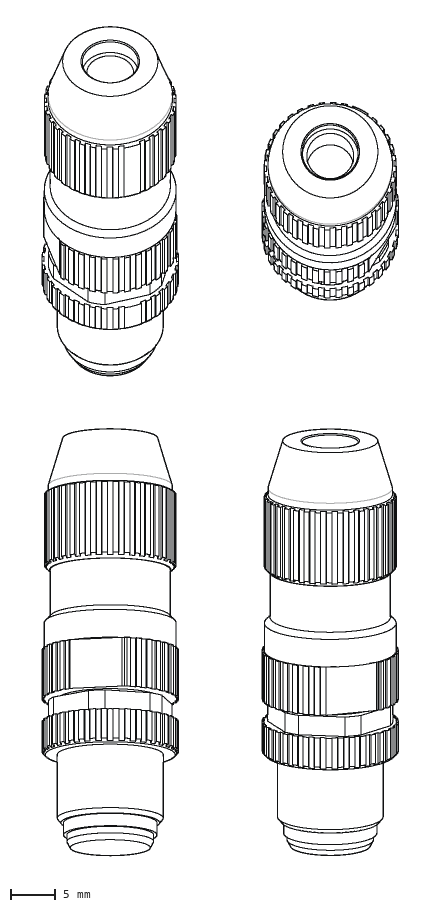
import cadquery as cq
import math

LENGTH = 46.75
RIM_DIAMETER = 15.3

CARRIER_CHAMFER_TOP = 0.7
GASKET_BOTTOM = 1.45
GASKET_TOP = 2.85
THREAD_CHAMFER_TOP = 3.35
NUT_RIM_BOTTOM = 10.6
NUT_RIM_CHAMFER_TOP = 11.0
HEX_BOTTOM = 14.35
HEX_TOP = 16.6
GRIP_BOTTOM = 16.95
GRIP_TOP = 22.55
COLLAR_CHAMFER_BOTTOM = 25.7
COLLAR_CHAMFER_TOP = 26.35
CAP_BOTTOM = 31.7
CAP_CHAMFER_TOP = 32.25
CAP_KNURL_TOP = 40.3
CAP_BAND_BOTTOM = 40.55
CAP_CONE_BOTTOM = 41.35

CARRIER_RADIUS = 4.85
CARRIER_TIP_RADIUS = 4.5
GASKET_RADIUS = 5.25

THREAD_RADIUS = 5.95
THREAD_TIP_RADIUS = 5.5
NUT_RIM_RADIUS = RIM_DIAMETER / 2
NUT_RIM_CHAMFER = NUT_RIM_CHAMFER_TOP - NUT_RIM_BOTTOM
HEX_CORNER_RADIUS = 7.0
HEX_ACROSS_FLATS = 13.0

GRIP_RADIUS = NUT_RIM_RADIUS
GRIP_ACROSS_FLATS = 13.65

SPIGOT_RADIUS = 5.85
COLLAR_RADIUS = 7.4
BARREL_RADIUS = 6.75

CAP_TOP_RADIUS = 5.35
CAP_BAND_RADIUS = 6.95
CAP_KNURL_RADIUS = COLLAR_RADIUS
CAP_BOTTOM_RADIUS = CAP_KNURL_RADIUS - (CAP_CHAMFER_TOP - CAP_BOTTOM)
CAP_BORE_RADIUS = 3.15
CAP_BORE_CHAMFER = 0.15
CAP_LIP_THICKNESS = 1.85

SEAL_RADIUS = 4.2
SEAL_BORE_RADIUS = 2.6
SEAL_BOTTOM = 39.75
SEAL_TOP = LENGTH - CAP_LIP_THICKNESS

GROOVE_COUNT = 36
GROOVE_DEPTH = 0.25
GROOVE_PITCH = 360 / GROOVE_COUNT
GROOVE_ANGLE = GROOVE_PITCH / 2
GROOVE_OUTER_MARGIN = 0.45


def turned(profile):
    """Revolve a closed (radius, height) outline around the Z axis."""
    return cq.Workplane("XZ").polyline(profile).close().revolve(360, (0, 0, 0), (0, 1, 0))


def tube(bore_radius, outer_radius, bottom, top):
    """Plain ring between two heights."""
    return turned(
        [(bore_radius, bottom), (outer_radius, bottom), (outer_radius, top), (bore_radius, top)]
    )


def polar(radius, angle):
    """Point in the XY plane at an angle in degrees from +X."""
    return (radius * math.cos(math.radians(angle)), radius * math.sin(math.radians(angle)))


def knurl(body, tooth_radius, bottom, top):
    """Cut the knurling grooves into the rim of a body between two heights."""
    floor_radius = tooth_radius - GROOVE_DEPTH
    outer_radius = tooth_radius + GROOVE_OUTER_MARGIN
    grooves = []
    for index in range(GROOVE_COUNT):
        start = index * GROOVE_PITCH
        middle = start + GROOVE_ANGLE / 2
        end = start + GROOVE_ANGLE
        groove = (
            cq.Workplane("XY", origin=(0, 0, bottom))
            .moveTo(*polar(floor_radius, start))
            .threePointArc(polar(floor_radius, middle), polar(floor_radius, end))
            .lineTo(*polar(outer_radius, end))
            .lineTo(*polar(outer_radius, start))
            .close()
            .extrude(top - bottom)
        )
        grooves.append(groove.val())
    return body.cut(cq.Workplane(cq.Compound.makeCompound(grooves)))


def make_carrier():
    """Contact carrier running through the coupling nut, chamfered at its tip."""
    return turned(
        [
            (0, 0),
            (CARRIER_TIP_RADIUS, 0),
            (CARRIER_RADIUS, CARRIER_CHAMFER_TOP),
            (CARRIER_RADIUS, HEX_TOP),
            (0, HEX_TOP),
        ]
    )


def make_gasket():
    """Sealing ring around the carrier, against the end of the thread."""
    return tube(CARRIER_RADIUS, GASKET_RADIUS, GASKET_BOTTOM, GASKET_TOP)


def make_nut():
    """Coupling nut: threaded sleeve, knurled rim and a hexagon with rounded corners."""
    sleeve_and_rim = turned(
        [
            (CARRIER_RADIUS, GASKET_TOP),
            (THREAD_TIP_RADIUS, GASKET_TOP),
            (THREAD_RADIUS, THREAD_CHAMFER_TOP),
            (THREAD_RADIUS, NUT_RIM_BOTTOM),
            (NUT_RIM_RADIUS - NUT_RIM_CHAMFER, NUT_RIM_BOTTOM),
            (NUT_RIM_RADIUS, NUT_RIM_CHAMFER_TOP),
            (NUT_RIM_RADIUS, HEX_BOTTOM),
            (CARRIER_RADIUS, HEX_BOTTOM),
        ]
    )
    sleeve_and_rim = knurl(sleeve_and_rim, NUT_RIM_RADIUS, NUT_RIM_BOTTOM, HEX_BOTTOM)
    hexagon = (
        cq.Workplane("XY", origin=(0, 0, HEX_BOTTOM))
        .polygon(6, HEX_ACROSS_FLATS, circumscribed=True)
        .extrude(HEX_TOP - HEX_BOTTOM)
        .intersect(tube(CARRIER_RADIUS, HEX_CORNER_RADIUS, HEX_BOTTOM, HEX_TOP))
    )
    return sleeve_and_rim.union(hexagon)


def make_grip_ring():
    """Knurled ring on the housing spigot, with two flats across Y."""
    ring = tube(SPIGOT_RADIUS, GRIP_RADIUS, GRIP_BOTTOM, GRIP_TOP)
    ring = knurl(ring, GRIP_RADIUS, GRIP_BOTTOM, GRIP_TOP)
    between_flats = cq.Workplane("XY", origin=(0, 0, GRIP_BOTTOM)).box(
        2 * GRIP_RADIUS, GRIP_ACROSS_FLATS, GRIP_TOP - GRIP_BOTTOM, centered=(True, True, False)
    )
    return ring.intersect(between_flats)


def make_housing():
    """Barrel with a chamfered collar and a spigot at each end."""
    return turned(
        [
            (0, HEX_TOP),
            (SPIGOT_RADIUS, HEX_TOP),
            (SPIGOT_RADIUS, GRIP_TOP),
            (COLLAR_RADIUS, GRIP_TOP),
            (COLLAR_RADIUS, COLLAR_CHAMFER_BOTTOM),
            (BARREL_RADIUS, COLLAR_CHAMFER_TOP),
            (BARREL_RADIUS, CAP_BOTTOM),
            (SPIGOT_RADIUS, CAP_BOTTOM),
            (SPIGOT_RADIUS, SEAL_BOTTOM),
            (0, SEAL_BOTTOM),
        ]
    )


def make_cap():
    """Clamping cap: knurled skirt, plain band and cone, bored for housing, seal and cable."""
    cap = turned(
        [
            (SPIGOT_RADIUS, CAP_BOTTOM),
            (CAP_BOTTOM_RADIUS, CAP_BOTTOM),
            (CAP_KNURL_RADIUS, CAP_CHAMFER_TOP),
            (CAP_KNURL_RADIUS, CAP_KNURL_TOP),
            (CAP_BAND_RADIUS, CAP_BAND_BOTTOM),
            (CAP_BAND_RADIUS, CAP_CONE_BOTTOM),
            (CAP_TOP_RADIUS, LENGTH),
            (CAP_BORE_RADIUS + CAP_BORE_CHAMFER, LENGTH),
            (CAP_BORE_RADIUS, LENGTH - CAP_BORE_CHAMFER),
            (CAP_BORE_RADIUS, SEAL_TOP),
            (SEAL_RADIUS, SEAL_TOP),
            (SEAL_RADIUS, SEAL_BOTTOM),
            (SPIGOT_RADIUS, SEAL_BOTTOM),
        ]
    )
    return knurl(cap, CAP_KNURL_RADIUS, CAP_BOTTOM, CAP_BAND_BOTTOM)


def make_seal():
    """Cable seal inside the cap."""
    return tube(SEAL_BORE_RADIUS, SEAL_RADIUS, SEAL_BOTTOM, SEAL_TOP)


carrier = make_carrier()
gasket = make_gasket()
nut = make_nut()
grip_ring = make_grip_ring()
housing = make_housing()
cap = make_cap()
seal = make_seal()

result = cq.Compound.makeCompound(
    [
        carrier.val(),
        gasket.val(),
        nut.val(),
        grip_ring.val(),
        housing.val(),
        cap.val(),
        seal.val(),
    ]
)